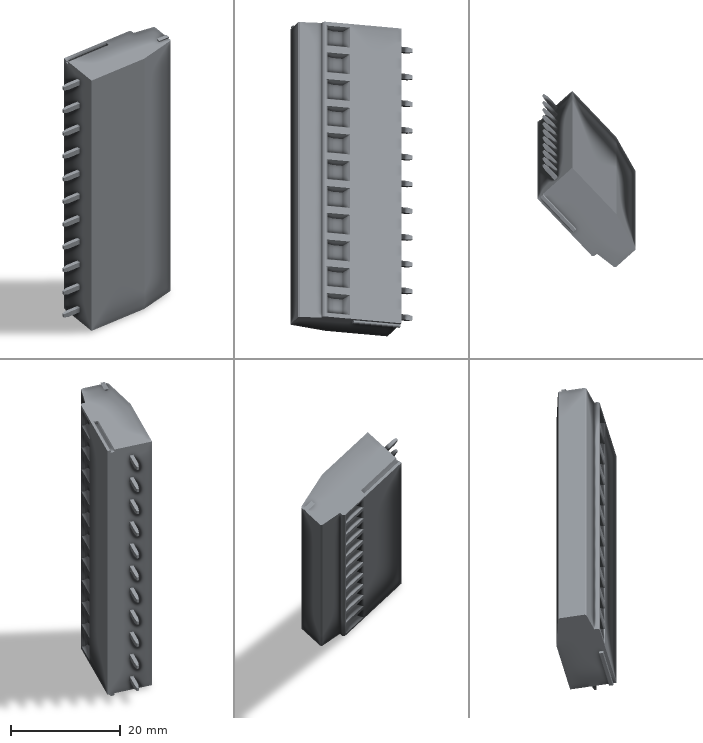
import cadquery as cq


pole_count = 11
pole_pitch = 5.08

body_width = 8.6
body_height = 19.1
body_length = 56.0
overall_length = 56.88
ledge_height = 14.9
ledge_depth = 0.95
ledge_chamfer = 0.3
crown_left = 1.55
crown_right = 6.85
crown_chamfer = 0.25
slope_start_height = 11.8

funnel_top = 14.24
funnel_bottom = 9.78
funnel_half_length = 1.885
funnel_depth = 1.4
lip_depth = 0.4
step_depth = 1.05
lip_inset = 0.34
floor_top = 12.7
floor_bottom = 10.8
floor_half_length = 1.35

pin_x = 4.63
pin_width = 0.7
pin_thickness = 1.0
pin_length = 3.5
pin_tip_length = 0.9
pin_tip_width = 0.4
pin_tip_thickness = 0.7
pin_root = 0.5

joint_x = 0.95
joint_neck_width = 0.5
joint_wide_width = 0.86
groove_depth = 0.55
groove_neck_depth = 0.3
groove_height = 9.05
rib_height = 8.9
rib_drop = 0.5
rib_shoulder_drop = 0.12
rib_wide_drop = 0.35
rib_tip_width = 0.6

key_x = 5.75
key_rise = overall_length - body_length - rib_drop
key_length = 2.15

top_z = body_length / 2
bottom_z = -top_z


def make_body():
    outline = [
        (0, 0),
        (body_width, 0),
        (body_width, slope_start_height),
        (crown_right, body_height - crown_chamfer),
        (crown_right - crown_chamfer, body_height),
        (crown_left + crown_chamfer, body_height),
        (crown_left, body_height - crown_chamfer),
        (ledge_depth, ledge_height),
        (ledge_chamfer, ledge_height),
        (0, ledge_height - ledge_chamfer),
    ]
    plane = cq.Workplane("XY", origin=(0, 0, bottom_z))
    return plane.polyline(outline).close().extrude(body_length)


def make_funnel():
    """Tapered wire entry with a lip, a step and a slanted floor on its +Y side, centred on z = 0."""
    side_profile = [
        (0, funnel_top),
        (lip_depth, funnel_top - lip_inset),
        (step_depth, funnel_top - lip_inset),
        (funnel_depth, floor_top),
        (funnel_depth, floor_bottom),
        (0, funnel_bottom),
    ]
    end_profile = [
        (0, -funnel_half_length),
        (funnel_depth, -floor_half_length),
        (funnel_depth, floor_half_length),
        (0, funnel_half_length),
    ]
    side = cq.Workplane("XY").polyline(side_profile).close().extrude(funnel_half_length, both=True)
    ends = cq.Workplane("XZ").polyline(end_profile).close().extrude(-body_height)
    return side.intersect(ends)


def make_pin():
    """Flat pin with a tapered tip, centred on z = 0 and rooted inside the body."""
    shank_end = pin_length - pin_tip_length
    shank = (
        cq.Workplane("XZ", origin=(pin_x, pin_root, 0))
        .rect(pin_width, pin_thickness)
        .extrude(pin_root + shank_end)
    )
    tip = (
        cq.Workplane("XZ", origin=(pin_x, -shank_end, 0))
        .rect(pin_width, pin_thickness)
        .workplane(offset=pin_tip_length)
        .rect(pin_tip_width, pin_tip_thickness)
        .loft()
    )
    return shank.union(tip)


def make_bar(center_x, half_outline, start_y, length):
    """Bar along +Y, symmetric about center_x; half_outline lists (half width, z)."""
    right_side = [(center_x + half, z) for half, z in half_outline]
    left_side = [(center_x - half, z) for half, z in reversed(half_outline)]
    plane = cq.Workplane("XZ", origin=(0, start_y, 0))
    return plane.polyline(right_side + left_side).close().extrude(-length)


def make_groove():
    """Hourglass slot that is widest at its mouth and at its floor."""
    half_outline = [
        (joint_wide_width / 2, top_z),
        (joint_neck_width / 2, top_z - groove_neck_depth),
        (joint_wide_width / 2, top_z - groove_depth),
    ]
    return make_bar(joint_x, half_outline, 0, groove_height)


def make_rib():
    half_outline = [
        (joint_neck_width / 2, bottom_z),
        (joint_wide_width / 2, bottom_z - rib_shoulder_drop),
        (joint_wide_width / 2, bottom_z - rib_wide_drop),
        (rib_tip_width / 2, bottom_z - rib_drop),
    ]
    return make_bar(joint_x, half_outline, 0, rib_height)


def make_key():
    half_outline = [
        (joint_neck_width / 2, top_z),
        (joint_wide_width / 2, top_z + key_rise),
    ]
    return make_bar(key_x, half_outline, body_height - key_length, key_length)


result = make_body().cut(make_groove()).union(make_rib()).union(make_key())
funnel = make_funnel()
pin = make_pin()
for pole in range(pole_count):
    pole_z = (pole - (pole_count - 1) / 2) * pole_pitch
    result = result.cut(funnel.translate((0, 0, pole_z)))
    result = result.union(pin.translate((0, 0, pole_z)))